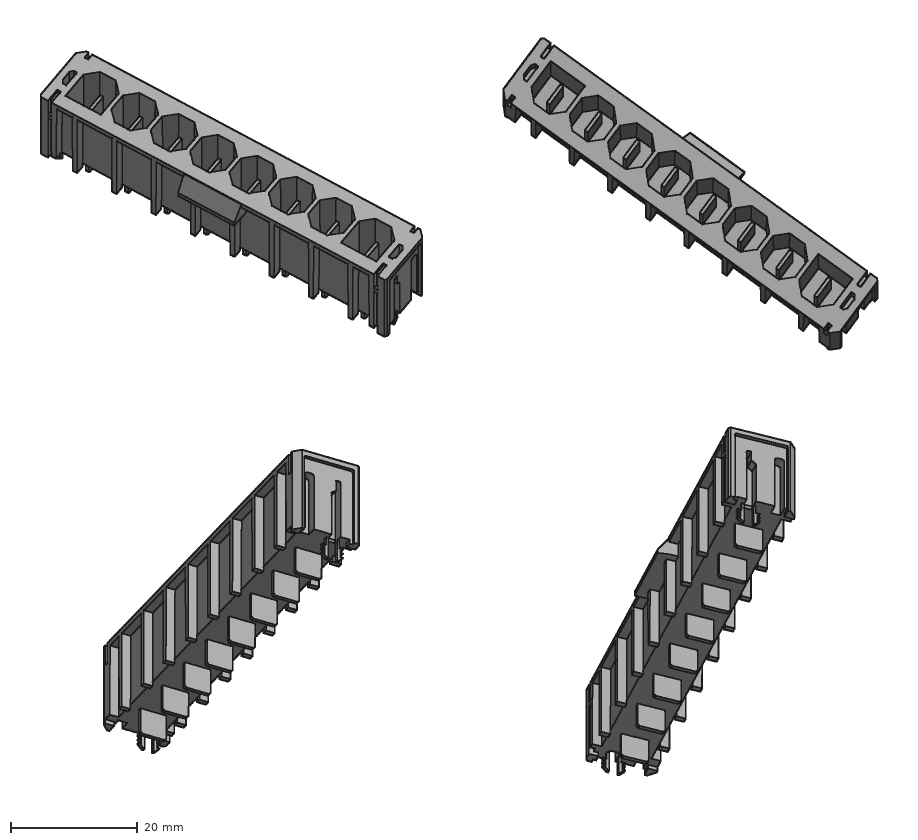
import cadquery as cq
import math


housing_length = 66.05
housing_width = 11.55
housing_height = 14.8
standoff_height = 0.8
back_corner_chamfer = 1.2
front_corner_chamfer = 0.3
end_x = housing_length / 2
front_y = -housing_width / 2
back_y = housing_width / 2

contact_count = 8
contact_row_length = 52.5
contact_pitch = contact_row_length / (contact_count - 1)
contact_thickness = 0.6
blade_width = 3.7
blade_top_depth = 3.3
tail_width = 4.6
tail_bottom_z = -3.9
tail_chamfer = 0.3

socket_width = 6.75
socket_length = 7.0
socket_corner = 1.85
socket_depth = 11.9
socket_shrink = 0.1
socket_center_y = 0.05

rim_height = 1.0
panel_depth = 1.6
rib_top_width = 1.0
rib_bottom_width = 0.85
panel_end_top_x = 29.7
panel_end_bottom_x = 29.85

end_recess_depth = 0.56
end_recess_front_margin = 1.05
end_recess_back_margin = 1.6
end_recess_radius = 0.3
channel_top_depth = 3.55
channel_width = 1.6
channel_radius = 0.5
back_channel_y = 3.0
clip_channel_narrow_width = 0.8
clip_channel_radius = 0.25
channel_step_top_depth = 5.5
channel_step_bottom_depth = 6.1
lead_in_height = 0.4
lead_in_depth = 0.3

clip_x = 31.05
clip_center_y = -1.8
clip_thickness = 0.6
clip_slot_width = 0.65
clip_slot_inner_x = clip_x - clip_slot_width / 2
clip_slot_outer_x = clip_x + clip_slot_width / 2
clip_bottom_z = -3.05
clip_gap = channel_width
clip_neck_width = 2.4
clip_barb_root_width = 2.85
clip_barb_width = 3.75
clip_tip_width = 2.1
clip_root_overlap = 0.65
barb_count = 3
barb_pitch = 0.8
barb_first_z = -0.6

front_notch_length = 2.65
front_notch_depth = 0.6
front_slot_length = 0.8
front_slot_depth = 3.7
front_bridge_height = 0.85
back_notch_length = 1.2
key_pocket_length = 3.05
key_pocket_center_y = -0.05
key_bulge_length = 1.85
key_bulge_depth = 0.4
key_pocket_depth = 3.3

latch_root_width = 10.95
latch_tip_width = 10.7
latch_reach = 1.85
latch_top_drop = 0.2
latch_slope_drop = 3.05
latch_root_drop = 3.6
latch_tip_drop = 3.8


def box(x_range, y_range, z_range):
    """Axis-aligned block between two limits on each axis."""
    size = [high - low for low, high in (x_range, y_range, z_range)]
    corner = (x_range[0], y_range[0], z_range[0])
    return cq.Workplane("XY").box(*size, centered=False).translate(corner)


def mirrored_pair(shape):
    """The shape together with its mirror image at the other end."""
    return shape.union(shape.mirror("YZ"))


def from_top(depth):
    return housing_height - depth


contact_xs = [-contact_row_length / 2 + i * contact_pitch for i in range(contact_count)]


def housing_block():
    block = box((-end_x, end_x), (front_y, back_y), (0, housing_height))
    block = block.edges("|Z and >Y").chamfer(back_corner_chamfer)
    return block.edges("|Z and <Y").chamfer(front_corner_chamfer)


def side_panel(left_top, right_top, left_bottom, right_bottom):
    """Drafted recess in the front wall between two ribs."""
    outline = [
        (left_bottom, 0),
        (right_bottom, 0),
        (right_top, from_top(rim_height)),
        (left_top, from_top(rim_height)),
    ]
    panel = cq.Workplane("XZ", origin=(0, front_y, 0)).polyline(outline).close()
    return panel.extrude(-panel_depth)


def side_panels():
    """Row of recesses that leaves one rib in front of every contact."""
    top_edges = [-panel_end_top_x]
    bottom_edges = [-panel_end_bottom_x]
    for x in contact_xs:
        top_edges += [x - rib_top_width / 2, x + rib_top_width / 2]
        bottom_edges += [x - rib_bottom_width / 2, x + rib_bottom_width / 2]
    top_edges.append(panel_end_top_x)
    bottom_edges.append(panel_end_bottom_x)
    panels = cq.Workplane("XY")
    for i in range(0, len(top_edges), 2):
        panels = panels.add(
            side_panel(top_edges[i], top_edges[i + 1], bottom_edges[i], bottom_edges[i + 1])
        )
    return panels.combine()


def standoff_clearance():
    """Space under the housing floor, leaving ribs and corner posts standing."""
    middle = box(
        (-end_x, end_x),
        (front_y + panel_depth, back_y - panel_depth),
        (0, standoff_height),
    )
    gap = box(
        (panel_end_top_x, clip_slot_outer_x),
        (front_y, back_y),
        (0, standoff_height),
    )
    return middle.union(mirrored_pair(gap))


def socket(x, square_front):
    """Tapered octagonal socket; the front corners can be left square."""
    half_x = socket_width / 2
    half_y = socket_length / 2
    flat_x = half_x - socket_corner
    flat_y = half_y - socket_corner
    if square_front:
        front = [(-half_x, -half_y), (half_x, -half_y)]
    else:
        front = [(-half_x, -flat_y), (-flat_x, -half_y), (flat_x, -half_y), (half_x, -flat_y)]
    back = [(half_x, flat_y), (flat_x, half_y), (-flat_x, half_y), (-half_x, flat_y)]
    taper = math.degrees(math.atan(socket_shrink / socket_depth))
    mouth = cq.Workplane("XY", origin=(x, socket_center_y, housing_height))
    return mouth.polyline(front + back).close().extrude(-socket_depth, taper=taper)


def contact(x):
    """Flat blade inside the socket with a wider solder tail below."""
    half = contact_thickness / 2
    blade = box(
        (x - half, x + half),
        (-blade_width / 2, blade_width / 2),
        (standoff_height, from_top(blade_top_depth)),
    )
    tail = box(
        (x - half, x + half),
        (-tail_width / 2, tail_width / 2),
        (tail_bottom_z, from_top(socket_depth)),
    )
    return blade.union(tail.edges("|X and <Z").chamfer(tail_chamfer))


def end_recess():
    """Shallow recess in the +X end wall, open at the bottom."""
    recess = box(
        (end_x - end_recess_depth, end_x),
        (front_y + end_recess_front_margin, back_y - end_recess_back_margin),
        (0, from_top(rim_height)),
    )
    return recess.edges("|X and >Z").fillet(end_recess_radius)


def back_channel():
    channel = box(
        (clip_slot_inner_x, end_x),
        (back_channel_y - channel_width / 2, back_channel_y + channel_width / 2),
        (0, from_top(channel_top_depth)),
    )
    return channel.edges("|X and >Z").fillet(channel_radius)


def clip_channel():
    """Stepped channel above the clip gap, with a lead-in at its lower end."""
    low_y = clip_center_y - channel_width / 2
    high_y = clip_center_y + channel_width / 2
    step_y = low_y + clip_channel_narrow_width
    outline = [
        (low_y, 0),
        (high_y, 0),
        (high_y, from_top(channel_step_bottom_depth)),
        (step_y, from_top(channel_step_top_depth)),
        (step_y, from_top(channel_top_depth)),
        (low_y, from_top(channel_top_depth)),
    ]
    channel = cq.Workplane("YZ", origin=(clip_slot_inner_x, 0, 0)).polyline(outline).close()
    channel = channel.extrude(end_x - clip_slot_inner_x)
    channel = channel.edges("|X and >Z and <Y").fillet(clip_channel_radius)
    lead_in_profile = [
        (clip_slot_inner_x, standoff_height),
        (clip_slot_inner_x - lead_in_depth, standoff_height),
        (clip_slot_inner_x, standoff_height + lead_in_height),
    ]
    lead_in = cq.Workplane("XZ", origin=(0, high_y, 0)).polyline(lead_in_profile).close()
    return channel.union(lead_in.extrude(channel_width))


def clip_slots():
    """Slots at the +X end, all lined up with the clip plate."""
    slot_x = (clip_slot_inner_x, clip_slot_outer_x)
    notch = box(
        slot_x,
        (front_y, front_y + front_notch_length),
        (from_top(front_notch_depth), housing_height),
    )
    upper = box(
        slot_x,
        (front_y, front_y + front_slot_length),
        (from_top(front_slot_depth), housing_height),
    )
    lower = box(
        slot_x,
        (front_y, front_y + front_slot_length),
        (0, from_top(front_slot_depth + front_bridge_height)),
    )
    back = box(
        slot_x,
        (back_y - back_notch_length, back_y),
        (from_top(front_slot_depth), housing_height),
    )
    return notch.union(upper).union(lower).union(back)


def key_pocket():
    """Blind pocket in the top face with a bulge toward the +X end."""
    half = key_pocket_length / 2
    bulge_half = key_bulge_length / 2
    outline = [
        (clip_slot_inner_x, -half),
        (clip_slot_outer_x, -half),
        (clip_slot_outer_x + key_bulge_depth, -bulge_half),
        (clip_slot_outer_x + key_bulge_depth, bulge_half),
        (clip_slot_outer_x, half),
        (clip_slot_inner_x, half),
    ]
    mouth = cq.Workplane("XY", origin=(0, key_pocket_center_y, housing_height))
    return mouth.polyline(outline).close().extrude(-key_pocket_depth)


def clip():
    """Two barbed prongs at the +X end, rooted in the wall on both sides of the clip channel."""
    root_z = standoff_height + clip_root_overlap
    neck = clip_neck_width / 2
    barb_root = clip_barb_root_width / 2
    tip = clip_barb_width / 2
    side = [(neck, root_z), (neck, barb_first_z)]
    for i in range(barb_count):
        barb_z = barb_first_z - i * barb_pitch
        side.append((tip, barb_z))
        if i < barb_count - 1:
            side += [(barb_root, barb_z - barb_pitch / 2), (barb_root, barb_z - barb_pitch)]
    side.append((clip_tip_width / 2, clip_bottom_z))
    opposite_side = [(-y, z) for y, z in reversed(side)]
    plane = cq.Workplane("YZ", origin=(clip_x - clip_thickness / 2, clip_center_y, 0))
    plate = plane.polyline(side + opposite_side).close().extrude(clip_thickness)
    gap = box(
        (clip_x - clip_thickness, clip_x + clip_thickness),
        (clip_center_y - clip_gap / 2, clip_center_y + clip_gap / 2),
        (clip_bottom_z, root_z),
    )
    return plate.cut(gap)


def latch():
    """Ramp at mid length, rooted on the panel floor and narrowing outward."""
    root_y = front_y + panel_depth
    tip_y = front_y - latch_reach
    profile = [
        (root_y, from_top(latch_top_drop)),
        (front_y, from_top(latch_top_drop)),
        (tip_y, from_top(latch_slope_drop)),
        (tip_y, from_top(latch_tip_drop)),
        (front_y, from_top(latch_root_drop)),
        (root_y, from_top(latch_root_drop)),
    ]
    ramp = cq.Workplane("YZ").polyline(profile).close().extrude(latch_root_width / 2, both=True)
    plan = [
        (-latch_root_width / 2, root_y),
        (-latch_root_width / 2, front_y),
        (-latch_tip_width / 2, tip_y),
        (latch_tip_width / 2, tip_y),
        (latch_root_width / 2, front_y),
        (latch_root_width / 2, root_y),
    ]
    return ramp.intersect(cq.Workplane("XY").polyline(plan).close().extrude(housing_height))


front_panels = side_panels()
result = housing_block().cut(front_panels).cut(front_panels.mirror("XZ"))
result = result.cut(standoff_clearance())

for cut_shape in (end_recess(), back_channel(), clip_channel(), clip_slots(), key_pocket()):
    result = result.cut(mirrored_pair(cut_shape))

for index, x in enumerate(contact_xs):
    is_end_socket = index in (0, contact_count - 1)
    result = result.cut(socket(x, is_end_socket)).union(contact(x))

result = result.union(mirrored_pair(clip())).union(latch())